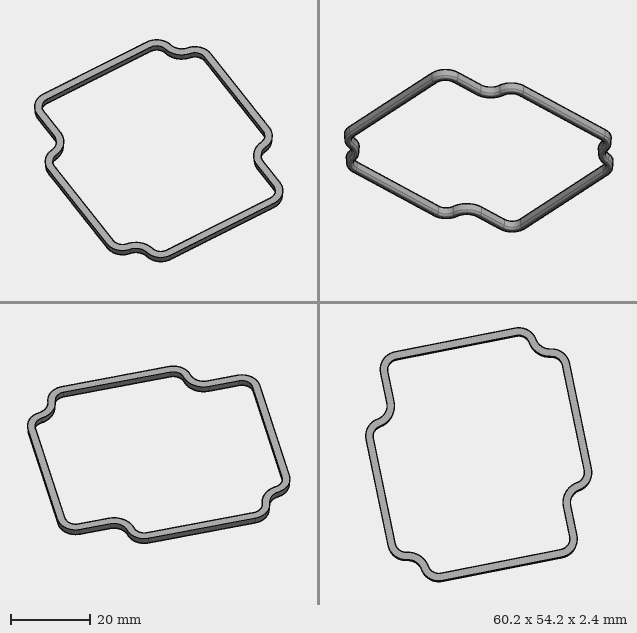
import cadquery as cq
import math

length = 60.15
width = 54.15
height = 2.4

wall = 1.9
draft_angle = 4.0
bottom_fillet = 0.6

bend_radius = 4.7
notch_radius = 3.6
step = 7.0
short_bend_x = 9.3
long_bend_x = length / 2 - bend_radius - step

side_x = length / 2 - bend_radius
end_y = width / 2 - bend_radius
side_y = end_y - step
ledge_y = side_y + bend_radius


def toward(start, target, distance):
    """Point at a distance from start in the direction of target."""
    span = math.dist(start, target)
    return tuple(a + (b - a) * distance / span for a, b in zip(start, target))


def diagonal_notch_center():
    """Centre of the notch arc tangent to the upper-left pair of bends."""
    half_span = math.hypot(side_x - long_bend_x, step) / 2
    reach = math.sqrt((bend_radius + notch_radius) ** 2 - half_span ** 2)
    shift = reach / math.sqrt(2)
    return (-(side_x + long_bend_x) / 2 - shift, (side_y + end_y) / 2 + shift)


def wide_notch_center():
    """Centre of the notch arc tangent to the upper-right bend and the ledge."""
    y = ledge_y + notch_radius
    run = math.sqrt((bend_radius + notch_radius) ** 2 - (y - end_y) ** 2)
    return (short_bend_x + run, y)


def arc_step(center, radius, start, end):
    """Midpoint and end of the minor arc from start to end."""
    chord_middle = tuple((a + b) / 2 for a, b in zip(start, end))
    return toward(center, chord_middle, radius), end


def ring_outline(inset, z):
    """Closed outline moved inward by inset, at height z."""
    bend = bend_radius - inset
    notch = notch_radius + inset
    lower_left = (-side_x, side_y)
    upper_left = (-long_bend_x, end_y)
    upper_right = (short_bend_x, end_y)
    lower_right = (side_x, side_y)
    diagonal = diagonal_notch_center()
    wide = wide_notch_center()

    side_start = (-side_x - bend, side_y)
    diagonal_start = toward(lower_left, diagonal, bend)
    diagonal_end = toward(upper_left, diagonal, bend)
    top_start = (-long_bend_x, end_y + bend)
    top_end = (short_bend_x, end_y + bend)
    wide_start = toward(upper_right, wide, bend)
    ledge_start = (wide[0], wide[1] - notch)
    ledge_end = (side_x, side_y + bend)
    side_end = (side_x + bend, side_y)

    half = [
        arc_step(lower_left, bend, side_start, diagonal_start),
        arc_step(diagonal, notch, diagonal_start, diagonal_end),
        arc_step(upper_left, bend, diagonal_end, top_start),
        (top_end,),
        arc_step(upper_right, bend, top_end, wide_start),
        arc_step(wide, notch, wide_start, ledge_start),
        (ledge_end,),
        arc_step(lower_right, bend, ledge_end, side_end),
    ]

    sketch = cq.Workplane("XY", origin=(0, 0, z)).moveTo(*side_start)
    for turn in (1, -1):
        for points in half:
            turned = [(turn * x, turn * y) for x, y in points]
            if len(turned) == 1:
                sketch = sketch.lineTo(*turned[0])
            else:
                sketch = sketch.threePointArc(*turned)
        sketch = sketch.lineTo(turn * side_end[0], -turn * side_end[1])
    return sketch.close()


def drafted_body(top_inset, bottom_inset):
    """Solid between the top outline and the bottom outline."""
    wires = [
        ring_outline(bottom_inset, 0).val(),
        ring_outline(top_inset, height).val(),
    ]
    return cq.Workplane(cq.Solid.makeLoft(wires, True))


draft_inset = height * math.tan(math.radians(draft_angle))
outer_body = drafted_body(0, draft_inset)
inner_void = drafted_body(wall, wall - draft_inset)

result = outer_body.cut(inner_void).faces("<Z").edges().fillet(bottom_fillet)